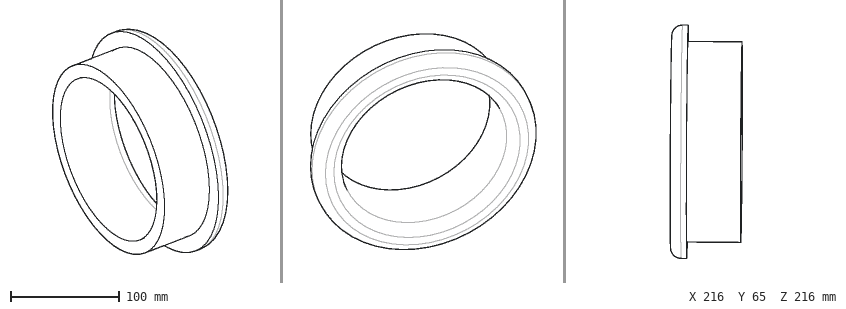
import cadquery as cq

flange_diameter = 216.0
sleeve_diameter = 185.8
bore_diameter = 159.8
total_length = 65.0
flange_thickness = 15.1
edge_radius = 10.0

sleeve_length = total_length - flange_thickness


def cylinder_along_y(diameter, start_y, length):
    """Solid cylinder centred on the Y axis, growing toward +Y."""
    return cq.Workplane("XZ", origin=(0, start_y, 0)).circle(diameter / 2).extrude(-length)


flange = cylinder_along_y(flange_diameter, sleeve_length, flange_thickness)

sleeve = cylinder_along_y(sleeve_diameter, 0, total_length)
bore = cylinder_along_y(bore_diameter, 0, total_length)

body = flange.union(sleeve).cut(bore)

result = body.faces(">Y").edges().fillet(edge_radius)